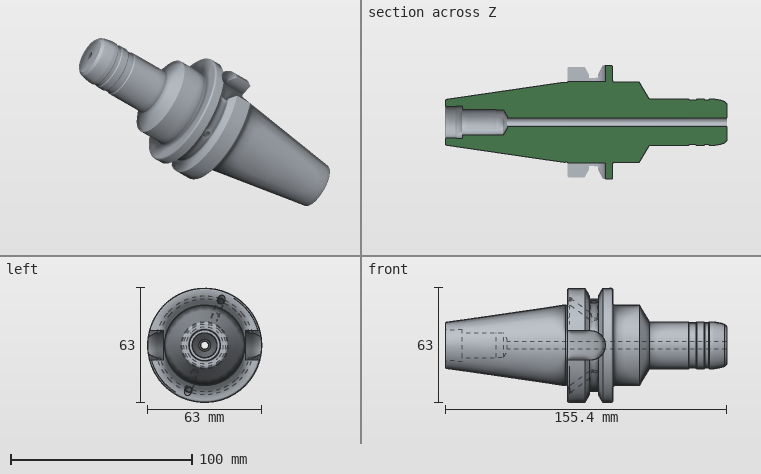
import cadquery as cq
import math


gauge_diameter = 44.45
taper_rate = 7 / 24
shank_length = 65.4
shank_edge_radius = 1
neck_diameter = 44
neck_start = 0.8
neck_end_fillet = 0.5

flange_diameter = 63
flange_start = 2
flange_end = 27
flange_edge_radius = 1
groove_center = 16.55
groove_floor_diameter = 51.2
groove_floor_width = 4.9
groove_wall_foot_diameter = 54.4
groove_wall_angle = 60

body_diameter = 44.5
body_fillet = 1
body_end = 41.6
nose_diameter = 26
nose_start = 47.1
nose_groove_diameter = 25
nose_grooves = [(68.6, 73.3), (77.2, 80.3)]
tip_taper_start = 82.5
tip_taper_diameter = 23.2
tip_crown_radius = 20
tip_chamfer = 1.4
nose_end = 90

slot_width = 16.1
slot_floor_offset = 22.6
slot_end = 22.9

pilot_diameter = 17
pilot_mouth_radius = 1
pilot_straight_depth = 5.6
relief_diameter = 17.6
relief_start_depth = 6.6
pilot_depth = 9.3
thread_diameter = 13.84
thread_depth = 28
drill_diameter = 13.5
drill_depth = 32
drill_cone_end_diameter = 6.6
drill_half_angle = 59
coolant_bore_diameter = 4.3

channel_azimuth = 20
channel_face_radius = 26.8
channel_tilt = 38
channel_diameter = 3.24
channel_mouth_diameter = 4
channel_mouth_depth = 1.5
radial_channel_diameter = 4


def revolve_profile(points):
    """Solid or ring of revolution about X whose section is the closed polygon of (x, radius) points."""
    profile = cq.Workplane("XY").polyline(points).close()
    return profile.revolve(360, (0, 0, 0), (1, 0, 0))


def make_shank():
    small_end_radius = (gauge_diameter - shank_length * taper_rate) / 2
    neck_radius = neck_diameter / 2
    shank = revolve_profile([
        (-shank_length, 0),
        (-shank_length, small_end_radius),
        (0, gauge_diameter / 2),
        (neck_start, gauge_diameter / 2),
        (neck_start, neck_radius),
        (flange_start, neck_radius),
        (flange_start, 0),
    ])
    return shank.faces("<X").edges().fillet(shank_edge_radius)


def make_neck_fillet():
    """Concave ring that blends the neck into the flange face."""
    neck_radius = neck_diameter / 2
    profile = (
        cq.Workplane("XY")
        .moveTo(flange_start, neck_radius)
        .lineTo(flange_start, neck_radius + neck_end_fillet)
        .radiusArc((flange_start - neck_end_fillet, neck_radius), neck_end_fillet)
        .close()
    )
    return profile.revolve(360, (0, 0, 0), (1, 0, 0))


def make_flange():
    width = flange_end - flange_start
    disc = cq.Workplane("YZ", origin=(flange_start, 0, 0)).circle(flange_diameter / 2).extrude(width)
    disc = disc.edges().fillet(flange_edge_radius)
    half_floor = groove_floor_width / 2
    rim_radius = flange_diameter / 2
    foot_radius = groove_wall_foot_diameter / 2
    half_mouth = half_floor + (rim_radius - foot_radius) / math.tan(math.radians(groove_wall_angle))
    groove = revolve_profile([
        (groove_center - half_floor, groove_floor_diameter / 2),
        (groove_center - half_floor, foot_radius),
        (groove_center - half_mouth, rim_radius),
        (groove_center + half_mouth, rim_radius),
        (groove_center + half_floor, foot_radius),
        (groove_center + half_floor, groove_floor_diameter / 2),
    ])
    return disc.cut(groove)


def make_body_and_nose():
    body_radius = body_diameter / 2
    nose_radius = nose_diameter / 2
    tip_radius = tip_taper_diameter / 2
    profile = (
        cq.Workplane("XY")
        .moveTo(flange_start, 0)
        .lineTo(flange_start, body_radius)
        .lineTo(flange_end, body_radius)
        .lineTo(flange_end, body_radius + body_fillet)
        .radiusArc((flange_end + body_fillet, body_radius), -body_fillet)
        .lineTo(body_end, body_radius)
        .lineTo(nose_start, nose_radius)
        .lineTo(tip_taper_start, nose_radius)
        .radiusArc((nose_end - tip_chamfer, tip_radius), tip_crown_radius)
        .lineTo(nose_end, tip_radius - tip_chamfer)
        .lineTo(nose_end, 0)
        .close()
    )
    body = profile.revolve(360, (0, 0, 0), (1, 0, 0))
    floor_radius = nose_groove_diameter / 2
    depth = nose_radius - floor_radius
    for start, end in nose_grooves:
        body = body.cut(revolve_profile([
            (start, nose_radius),
            (start + depth, floor_radius),
            (end - depth, floor_radius),
            (end, nose_radius),
        ]))
    return body


def make_drive_slot(side):
    """Round-ended slot, open toward the shank, on the +Y (side = 1) or -Y (side = -1) flank."""
    radius = slot_width / 2
    arc_center = slot_end - radius
    return (
        cq.Workplane("XZ", origin=(0, side * slot_floor_offset, 0))
        .moveTo(flange_start, -radius)
        .lineTo(arc_center, -radius)
        .threePointArc((slot_end, 0), (arc_center, radius))
        .lineTo(flange_start, radius)
        .close()
        .extrude(-side * flange_diameter)
    )


def make_drawbar_bore():
    pilot_radius = pilot_diameter / 2
    cone_end_radius = drill_cone_end_diameter / 2
    cone_length = (drill_diameter / 2 - cone_end_radius) / math.tan(math.radians(drill_half_angle))
    depth_and_radius = [
        (0, 0),
        (0, pilot_radius),
        (pilot_straight_depth, pilot_radius),
        (relief_start_depth, relief_diameter / 2),
        (pilot_depth, relief_diameter / 2),
        (pilot_depth, thread_diameter / 2),
        (thread_depth, thread_diameter / 2),
        (thread_depth, drill_diameter / 2),
        (drill_depth, drill_diameter / 2),
        (drill_depth + cone_length, cone_end_radius),
        (drill_depth + cone_length, coolant_bore_diameter / 2),
        (shank_length + nose_end, coolant_bore_diameter / 2),
        (shank_length + nose_end, 0),
    ]
    return revolve_profile([(depth - shank_length, radius) for depth, radius in depth_and_radius])


def make_flange_channel():
    """Coolant channel in the XZ plane above the axis."""
    tilt = math.radians(channel_tilt)
    direction = cq.Vector(math.cos(tilt), 0, -math.sin(tilt))
    face_point = cq.Vector(flange_start, 0, channel_face_radius)
    length = (groove_center - flange_start) / math.cos(tilt)
    meeting_point = face_point + direction * length
    outside = direction * -channel_mouth_diameter

    def bore(diameter, depth):
        full_depth = channel_mouth_diameter + depth
        return cq.Solid.makeCylinder(diameter / 2, full_depth, face_point + outside, direction)

    radial_depth = groove_wall_foot_diameter / 2 - meeting_point.z
    radial = cq.Solid.makeCylinder(
        radial_channel_diameter / 2, radial_depth, meeting_point, cq.Vector(0, 0, 1))
    inclined = bore(channel_diameter, length)
    mouth = bore(channel_mouth_diameter, channel_mouth_depth)
    return cq.Workplane(inclined).union(cq.Workplane(mouth)).union(cq.Workplane(radial))


result = make_shank().union(make_neck_fillet()).union(make_flange()).union(make_body_and_nose())
for side in (1, -1):
    result = result.cut(make_drive_slot(side))
result = result.cut(make_drawbar_bore())
result = result.faces("<X").edges(cq.selectors.RadiusNthSelector(0)).fillet(pilot_mouth_radius)
for half_turn in (0, 180):
    channel = make_flange_channel().rotate((0, 0, 0), (1, 0, 0), channel_azimuth + half_turn)
    result = result.cut(channel)